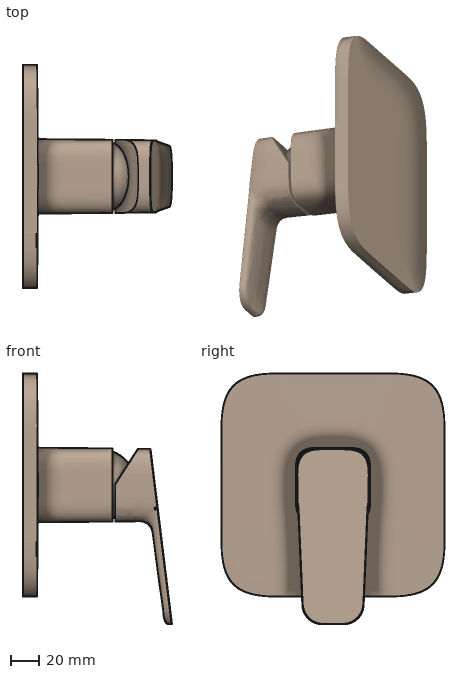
import cadquery as cq
import math

PLATE_HALF = 78.92
PLATE_FLAT_HALF = 40.5
PLATE_RIM = 10.2
PLATE_CROWN = 0.5
PLATE_EDGE_ROUND = 0.5

BODY_START = PLATE_RIM / 2
BODY_END = 63.5
BODY_BASE_HALF = 26.5
BODY_END_HALF = 26.0
BODY_FLAT_HALF = 10.5
BODY_EDGE_CHAMFER = 0.5

BALL_CENTRE = 54.5
BALL_RADIUS = 25.3
BALL_SEAT_DEPTH = 3.0

HUB_START = 65.2
HUB_START_HALF = 26.0
HUB_END_HALF = 25.4
HUB_FLAT_HALF = 8.0
CUT_LOW_Z = 0.5
CUT_HIGH_X = 81.5

FRONT_TOP_X = 90.2
FRONT_TIP_X = 105.44
FRONT_TIP_Z = -98.5
FRONT_CHAMFER = 0.5

LEVER_TOP_Z = -3.0
LEVER_TOP_HALF = 25.3
LEVER_TIP_HALF = 21.2
LEVER_CORNER_RADIUS = 14.5
LEVER_TOP_DEPTH = 5.8
LEVER_TIP_DEPTH = 4.3
LEVER_TIP_ROUND = 3.0
LEVER_SIDE_DEPTH = 1.2
BAND_TOP_HALF = 7.5
BAND_TIP_HALF = 4.0
LEVER_NECK_RADIUS = 9.0

CORNER_INSET = 0.225

MARGIN = 20.0
NECK_SEARCH = 4.0

front_slope = (FRONT_TIP_X - FRONT_TOP_X) / (HUB_START_HALF - FRONT_TIP_Z)


def front_x(z):
    """X of the sloping front plane at height z."""
    return FRONT_TOP_X + front_slope * (HUB_START_HALF - z)


def soft_square(workplane, half, flat_half):
    """Square outline whose corners are smooth curves tangent to the straight sides."""
    middle = half - CORNER_INSET * (half - flat_half)
    outline = workplane.moveTo(half, -flat_half)
    for turn in range(4):
        cos_t = round(math.cos(turn * math.pi / 2))
        sin_t = round(math.sin(turn * math.pi / 2))

        def turned(u, v):
            return (u * cos_t - v * sin_t, u * sin_t + v * cos_t)

        outline = outline.lineTo(*turned(half, flat_half))
        outline = outline.spline(
            [turned(middle, middle), turned(flat_half, half)],
            tangents=[turned(0, 1), turned(-1, 0)],
            includeCurrent=True,
        )
    return outline.close()


def soft_prism(start, end, start_half, end_half, flat_half):
    """Tapered prism along X between two soft squares."""
    first = soft_square(cq.Workplane("YZ", origin=(start, 0, 0)), start_half, flat_half)
    both = soft_square(first.workplane(offset=end - start), end_half, flat_half)
    return both.loft(ruled=True, combine=True)


def make_plate():
    apex = PLATE_RIM + PLATE_CROWN
    dome_radius = (PLATE_HALF**2 + PLATE_CROWN**2) / (2 * PLATE_CROWN)
    plate = soft_square(cq.Workplane("YZ"), PLATE_HALF, PLATE_FLAT_HALF).extrude(apex)
    dome = cq.Workplane("XY").sphere(dome_radius).translate((apex - dome_radius, 0, 0))
    return plate.intersect(dome).faces(">X").edges().fillet(PLATE_EDGE_ROUND)


def make_body():
    body = soft_prism(BODY_START, BODY_END, BODY_BASE_HALF, BODY_END_HALF, BODY_FLAT_HALF)
    return body.faces(">X").edges().chamfer(BODY_EDGE_CHAMFER)


def make_ball():
    """Spherical cap turned about X, seated inside the body."""
    seat_x = BODY_END - BALL_SEAT_DEPTH
    seat_radius = math.sqrt(BALL_RADIUS**2 - (seat_x - BALL_CENTRE) ** 2)
    bulge = math.sqrt(0.5) * BALL_RADIUS
    return (
        cq.Workplane("XZ")
        .moveTo(seat_x, 0)
        .lineTo(seat_x, seat_radius)
        .threePointArc((BALL_CENTRE + bulge, bulge), (BALL_CENTRE + BALL_RADIUS, 0))
        .close()
        .revolve(360, (0, 0, 0), (1, 0, 0))
    )


def make_hub():
    hub = soft_prism(HUB_START, FRONT_TIP_X, HUB_START_HALF, HUB_END_HALF, HUB_FLAT_HALF)
    cut_slope = (HUB_START_HALF - CUT_LOW_Z) / (CUT_HIGH_X - HUB_START)
    overrun = MARGIN * cut_slope
    relief = (
        cq.Workplane("XZ")
        .moveTo(HUB_START - MARGIN, CUT_LOW_Z - overrun)
        .lineTo(CUT_HIGH_X + MARGIN, HUB_START_HALF + overrun)
        .lineTo(HUB_START - MARGIN, HUB_START_HALF + overrun)
        .close()
        .extrude(PLATE_HALF, both=True)
    )
    return hub.cut(relief)


def lever_section(workplane, z, depth, half, band_half):
    """Horizontal blade section: a flat band at the back, curving forward to both sides."""
    back_x = front_x(z) - depth
    side_x = front_x(z) - LEVER_SIDE_DEPTH
    waste_x = FRONT_TIP_X + MARGIN
    return (
        workplane.moveTo(waste_x, -half)
        .lineTo(side_x, -half)
        .spline([(back_x, -band_half)], tangents=[(-1, 0), (0, 1)], includeCurrent=True)
        .lineTo(back_x, band_half)
        .spline([(side_x, half)], tangents=[(0, 1), (1, 0)], includeCurrent=True)
        .lineTo(waste_x, half)
        .close()
    )


def make_lever():
    """Blade reaching past the front plane, with a bowed back and a rounded tip."""
    top_plane = cq.Workplane("XY", origin=(0, 0, LEVER_TOP_Z))
    top = lever_section(top_plane, LEVER_TOP_Z, LEVER_TOP_DEPTH, LEVER_TOP_HALF, BAND_TOP_HALF)
    tip_plane = top.workplane(offset=FRONT_TIP_Z - LEVER_TOP_Z)
    tip = lever_section(tip_plane, FRONT_TIP_Z, LEVER_TIP_DEPTH, LEVER_TIP_HALF, BAND_TIP_HALF)
    blade = tip.loft(ruled=True, combine=True)
    stencil = (
        cq.Workplane("YZ")
        .moveTo(-LEVER_TOP_HALF, LEVER_TOP_Z)
        .lineTo(-LEVER_TIP_HALF, FRONT_TIP_Z)
        .lineTo(LEVER_TIP_HALF, FRONT_TIP_Z)
        .lineTo(LEVER_TOP_HALF, LEVER_TOP_Z)
        .close()
        .extrude(FRONT_TIP_X + MARGIN)
        .edges("|X and <Z")
        .fillet(LEVER_CORNER_RADIUS)
    )
    blade = blade.intersect(stencil)
    tip_edges = cq.selectors.BoxSelector(
        (0, -LEVER_TOP_HALF, FRONT_TIP_Z - 1),
        (FRONT_TIP_X, LEVER_TOP_HALF, FRONT_TIP_Z + LEVER_CORNER_RADIUS),
    )
    return blade.edges(tip_edges).fillet(LEVER_TIP_ROUND)


def make_handle():
    """Hub and lever joined by a rounded neck and trimmed to the sloping front plane."""
    neck_x = front_x(-HUB_START_HALF) - LEVER_TOP_DEPTH
    neck_edges = cq.selectors.BoxSelector(
        (neck_x - NECK_SEARCH, -HUB_END_HALF, -HUB_START_HALF - NECK_SEARCH / 2),
        (neck_x + NECK_SEARCH, HUB_END_HALF, -HUB_START_HALF + NECK_SEARCH / 2),
    )
    handle = make_hub().union(make_lever()).edges(neck_edges).fillet(LEVER_NECK_RADIUS)
    waste_top = HUB_START_HALF + MARGIN
    waste_bottom = FRONT_TIP_Z - MARGIN
    waste_x = FRONT_TIP_X + 2 * MARGIN
    front_waste = (
        cq.Workplane("XZ")
        .moveTo(front_x(waste_top), waste_top)
        .lineTo(front_x(waste_bottom), waste_bottom)
        .lineTo(waste_x, waste_bottom)
        .lineTo(waste_x, waste_top)
        .close()
        .extrude(PLATE_HALF, both=True)
    )
    front_normal = cq.Vector(1, 0, front_slope)
    front_face = cq.selectors.DirectionMinMaxSelector(front_normal, True)
    return handle.cut(front_waste).faces(front_face).edges().chamfer(FRONT_CHAMFER)


result = make_plate().union(make_body()).union(make_ball()).union(make_handle())